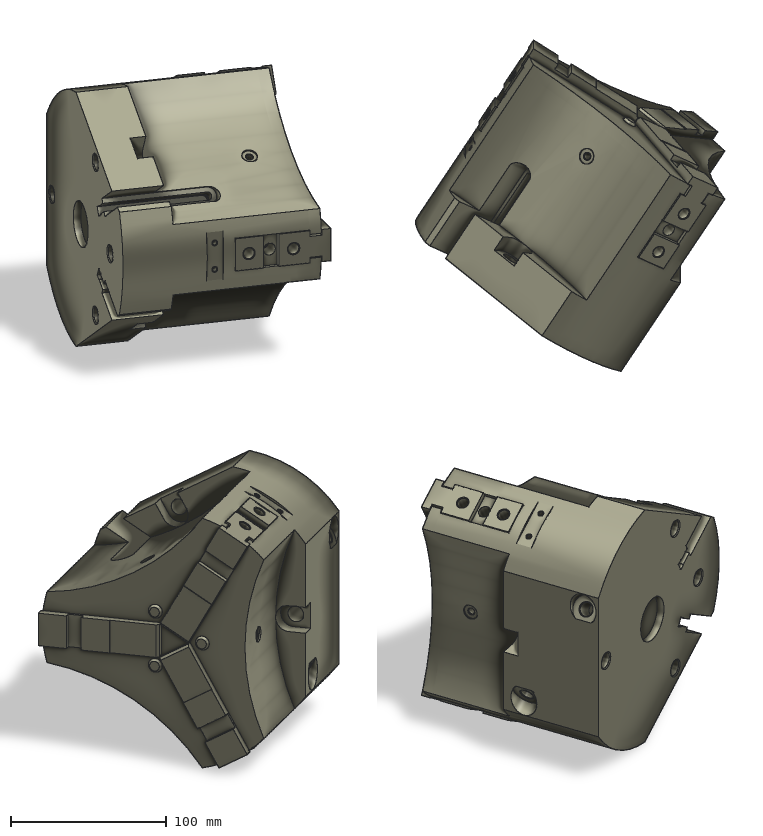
import cadquery as cq


BODY_RADIUS = 87.0
FLAT_DISTANCE = 70.0
COVER_BOTTOM_Y = 126.0
COVER_TOP_Y = 134.0
LEFT_FLAT_ANGLE = 180
SLOPED_FLAT_ANGLES = (60, -60)
JAW_ANGLES = (0, 120, 240)
CUT_MARGIN = 8.6

MOUTH_CHAMFER = 0.5

HOLLOW_RADIUS = 149.9
HOLLOW_DEPTH_RADIUS = 49.8
LEFT_HOLLOW_Y = 70.0
SLOPED_HOLLOW_Y = 35.0
CLEARANCE_DIAMETER = 17.5
CLEARANCE_LENGTH = 10.5

SIDE_HOLE_Y = 105.8
SIDE_SEAT_DIAMETER = 10.0
SIDE_SEAT_DEPTH = 1.0
SIDE_HOLE_DIAMETER = 4.1
SIDE_HOLE_DEPTH = 10.4

MOUNT_CIRCLE_RADIUS = 60.0
MOUNT_HOLE_DIAMETER = 10.5
MOUNT_CHAMFER = 0.7
BLIND_HOLE_DEPTH = 20.7
CENTER_RECESS_DIAMETER = 30.3
CENTER_RECESS_DEPTH = 5.0

SLOT_ANGLES = (30, -30)
SLOT_TOP_Y = 70.4
SLOT_STEPS = ((12.0, 54.0), (5.4, 45.0), (6.2, 41.0))

PORTS = ((150, 11.2), (210, 55.0))
PORT_SEAT_RADIUS = 76.5
PORT_SEAT_DIAMETER = 19.0
PORT_HOLE_DIAMETER = 9.0
PORT_HOLE_DEPTH = 13.8

PAD_ANGLES = (0, 120)
PAD_DISTANCE = 85.5
PAD_BOTTOM_Y = 56.9
PAD_TOP_Y = 68.0
PAD_HOLE_SPACING = 18.0
PAD_HOLE_DIAMETER = 3.0
PAD_HOLE_DEPTH = 5.2

BUTTON_ANGLES = (60, 180, 300)
BUTTON_CIRCLE_RADIUS = 21.1
BUTTON_BASE_RADIUS = 4.7
BUTTON_TOP_RADIUS = 3.3
BUTTON_HEIGHT = 1.9

JAW_OUTER_RADIUS = 87.5
FOOT_INNER_RADIUS = 39.5
JAW_END_RADIUS = 6.5
JAW_WIDTH = 22.0
JAW_FOOT_Y = 75.9
JAW_TOP_Y = 140.0
NECK_WIDTH = 14.2
NECK_CLEARANCE = 1.0
END_CHAMFER = 1.7
TOP_RELIEF_RADIUS = FOOT_INNER_RADIUS
TOP_RELIEF_DEPTH = 0.5
CROSS_GROOVE_INNER = 58.6
CROSS_GROOVE_OUTER = 68.6
CROSS_GROOVE_DEPTH = 4.0
FACE_GROOVE_Y = 100.0
FACE_GROOVE_WIDTH = 10.4
FACE_GROOVE_DEPTH = 4.0
GROOVE_HOLE_DIAMETER = 8.0
GROOVE_HOLE_DEPTH = 13.8
JAW_HOLE_OFFSET = 15.0
JAW_HOLE_DIAMETER = 7.3
JAW_HOLE_DEPTH = 17.3


def turned(shape, angle):
    """Turn a shape about the gripper axis from +X towards +Z."""
    return shape.rotate((0, 0, 0), (0, 1, 0), -angle)


def block(x_start, x_end, y_start, y_end, width):
    """A box in the radial direction +X, centred on z = 0."""
    return (
        cq.Workplane("XY")
        .box(x_end - x_start, y_end - y_start, width, centered=(False, False, True))
        .translate((x_start, y_start, 0))
    )


def axial_cylinder(x, diameter, y_start, y_end):
    """A cylinder parallel to the gripper axis."""
    base = cq.Vector(x, y_start, 0)
    cylinder = cq.Solid.makeCylinder(diameter / 2, y_end - y_start, base, cq.Vector(0, 1, 0))
    return cq.Workplane(cylinder)


def radial_cylinder(x_start, x_end, y, diameter, z=0):
    """A cylinder along the radial direction +X."""
    return cq.Workplane("YZ", origin=(x_start, y, z)).circle(diameter / 2).extrude(x_end - x_start)


def radial_hole(mouth_x, y, diameter, depth, z=0):
    """A blind hole along the radial direction, with a chamfered mouth."""
    mouth = cq.Solid.makeCone(
        diameter / 2,
        diameter / 2 + MOUTH_CHAMFER,
        MOUTH_CHAMFER,
        cq.Vector(mouth_x - MOUTH_CHAMFER, y, z),
        cq.Vector(1, 0, 0),
    )
    return radial_cylinder(mouth_x - depth, mouth_x, y, diameter, z).union(cq.Workplane(mouth))


def hollowed_slab(y_start, y_end):
    """A round slab with three flats, hollowed above each flat."""
    slab = axial_cylinder(0, 2 * BODY_RADIUS, y_start, y_end)
    for angle in (LEFT_FLAT_ANGLE, *SLOPED_FLAT_ANGLES):
        outside = block(FLAT_DISTANCE, BODY_RADIUS + CUT_MARGIN, y_start, y_end, 2 * BODY_RADIUS)
        slab = slab.cut(turned(outside, angle))
    slab = slab.cut(turned(hollow(LEFT_HOLLOW_Y), LEFT_FLAT_ANGLE))
    for angle in SLOPED_FLAT_ANGLES:
        slab = slab.cut(turned(hollow(SLOPED_HOLLOW_Y), angle))
    return slab


def hollow(start_y):
    """The concave cut above a flat, with the clearance below its edge and the hole in its wall."""
    center_x = HOLLOW_DEPTH_RADIUS + HOLLOW_RADIUS
    cut = axial_cylinder(center_x, 2 * HOLLOW_RADIUS, start_y, COVER_TOP_Y + CUT_MARGIN)

    clearance_y = start_y - CLEARANCE_LENGTH
    clearance_x = HOLLOW_DEPTH_RADIUS + CLEARANCE_DIAMETER / 2
    cut = cut.union(axial_cylinder(clearance_x, CLEARANCE_DIAMETER, clearance_y, start_y))
    cut = cut.union(block(clearance_x, FLAT_DISTANCE + CUT_MARGIN, clearance_y, start_y, CLEARANCE_DIAMETER))

    seat_x = HOLLOW_DEPTH_RADIUS - SIDE_SEAT_DEPTH
    cut = cut.union(radial_cylinder(seat_x, FLAT_DISTANCE, SIDE_HOLE_Y, SIDE_SEAT_DIAMETER))
    return cut.union(radial_hole(seat_x, SIDE_HOLE_Y, SIDE_HOLE_DIAMETER, SIDE_HOLE_DEPTH))


def mounting_hole(depth):
    """A hole from the mounting face, with a chamfered mouth."""
    mouth_radius = MOUNT_HOLE_DIAMETER / 2 + MOUNT_CHAMFER
    mouth = cq.Solid.makeCone(
        mouth_radius,
        MOUNT_HOLE_DIAMETER / 2,
        MOUNT_CHAMFER,
        cq.Vector(MOUNT_CIRCLE_RADIUS, 0, 0),
        cq.Vector(0, 1, 0),
    )
    return axial_cylinder(MOUNT_CIRCLE_RADIUS, MOUNT_HOLE_DIAMETER, 0, depth).union(cq.Workplane(mouth))


def stepped_slot():
    """A slot of three widths with a rounded top, running in from the corner of the flat."""
    outer_radius = BODY_RADIUS + CUT_MARGIN
    cut = cq.Workplane("XY")
    for width, inner_radius in SLOT_STEPS:
        cut = cut.add(block(inner_radius, outer_radius, 0, SLOT_TOP_Y, width))
        cut = cut.add(radial_cylinder(inner_radius, outer_radius, SLOT_TOP_Y, width))
        outer_radius = inner_radius
    return cut.combine()


def port(y):
    """A radial port with a round seat."""
    seat = radial_cylinder(PORT_SEAT_RADIUS, BODY_RADIUS + CUT_MARGIN, y, PORT_SEAT_DIAMETER)
    return seat.union(radial_hole(PORT_SEAT_RADIUS, y, PORT_HOLE_DIAMETER, PORT_HOLE_DEPTH))


def pad():
    """A flat cut into the round side, with two holes."""
    cut = block(PAD_DISTANCE, BODY_RADIUS + CUT_MARGIN, PAD_BOTTOM_Y, PAD_TOP_Y, BODY_RADIUS)
    hole_y = (PAD_BOTTOM_Y + PAD_TOP_Y) / 2
    for side in (-1, 1):
        hole_z = side * PAD_HOLE_SPACING / 2
        cut = cut.union(radial_hole(PAD_DISTANCE, hole_y, PAD_HOLE_DIAMETER, PAD_HOLE_DEPTH, hole_z))
    return cut


def jaw_channel():
    """The recess for a jaw foot, and the wider opening for its neck in the cover."""
    outer_radius = BODY_RADIUS + CUT_MARGIN
    foot_recess = block(FOOT_INNER_RADIUS, outer_radius, JAW_FOOT_Y, COVER_BOTTOM_Y, JAW_WIDTH)
    neck_opening = block(
        FOOT_INNER_RADIUS, outer_radius, COVER_BOTTOM_Y, COVER_TOP_Y, NECK_WIDTH + 2 * NECK_CLEARANCE
    )
    return foot_recess.union(neck_opening)


def button():
    """A low conical button on the cover."""
    cone = cq.Solid.makeCone(
        BUTTON_BASE_RADIUS,
        BUTTON_TOP_RADIUS,
        BUTTON_HEIGHT,
        cq.Vector(BUTTON_CIRCLE_RADIUS, COVER_TOP_Y, 0),
        cq.Vector(0, 1, 0),
    )
    return cq.Workplane(cone)


def make_housing():
    housing = hollowed_slab(0, COVER_BOTTOM_Y).union(hollowed_slab(COVER_BOTTOM_Y, COVER_TOP_Y), clean=False)
    housing = housing.cut(turned(mounting_hole(COVER_TOP_Y), LEFT_FLAT_ANGLE), clean=False)
    for angle in SLOPED_FLAT_ANGLES:
        housing = housing.cut(turned(mounting_hole(COVER_TOP_Y), angle), clean=False)

    housing = housing.cut(mounting_hole(BLIND_HOLE_DEPTH), clean=False)
    housing = housing.cut(axial_cylinder(0, CENTER_RECESS_DIAMETER, 0, CENTER_RECESS_DEPTH), clean=False)
    for angle in SLOT_ANGLES:
        housing = housing.cut(turned(stepped_slot(), angle), clean=False)
    for angle, y in PORTS:
        housing = housing.cut(turned(port(y), angle), clean=False)
    for angle in PAD_ANGLES:
        housing = housing.cut(turned(pad(), angle), clean=False)
    for angle in JAW_ANGLES:
        housing = housing.cut(turned(jaw_channel(), angle), clean=False)
    for angle in BUTTON_ANGLES:
        housing = housing.union(turned(button(), angle), clean=False)
    return housing


def jaw_top():
    """The top of a jaw, with a lowered and chamfered inner end and a cross groove."""
    top = block(JAW_END_RADIUS, JAW_OUTER_RADIUS, COVER_TOP_Y, JAW_TOP_Y, JAW_WIDTH)
    relief_y = JAW_TOP_Y - TOP_RELIEF_DEPTH
    top = top.cut(block(JAW_END_RADIUS, TOP_RELIEF_RADIUS, relief_y, JAW_TOP_Y, JAW_WIDTH))
    top = top.faces("<X").edges(">Y").chamfer(END_CHAMFER)
    groove_y = JAW_TOP_Y - CROSS_GROOVE_DEPTH
    return top.cut(block(CROSS_GROOVE_INNER, CROSS_GROOVE_OUTER, groove_y, JAW_TOP_Y, JAW_WIDTH))


def make_jaw(angle):
    jaw = jaw_top()
    jaw = jaw.union(block(FOOT_INNER_RADIUS, JAW_OUTER_RADIUS, COVER_BOTTOM_Y, COVER_TOP_Y, NECK_WIDTH))
    jaw = jaw.union(block(FOOT_INNER_RADIUS, JAW_OUTER_RADIUS, JAW_FOOT_Y, COVER_BOTTOM_Y, JAW_WIDTH))

    groove_floor = JAW_OUTER_RADIUS - FACE_GROOVE_DEPTH
    groove_start = FACE_GROOVE_Y - FACE_GROOVE_WIDTH / 2
    jaw = jaw.cut(
        block(groove_floor, JAW_OUTER_RADIUS, groove_start, groove_start + FACE_GROOVE_WIDTH, JAW_WIDTH)
    )
    groove_hole_bottom = groove_floor - GROOVE_HOLE_DEPTH
    jaw = jaw.cut(radial_cylinder(groove_hole_bottom, groove_floor, FACE_GROOVE_Y, GROOVE_HOLE_DIAMETER))
    for side in (-1, 1):
        hole_y = FACE_GROOVE_Y + side * JAW_HOLE_OFFSET
        jaw = jaw.cut(radial_hole(JAW_OUTER_RADIUS, hole_y, JAW_HOLE_DIAMETER, JAW_HOLE_DEPTH))
    return turned(jaw, angle)


housing = make_housing()
jaws = [make_jaw(angle) for angle in JAW_ANGLES]
result = cq.Compound.makeCompound([housing.val(), *[jaw.val() for jaw in jaws]])